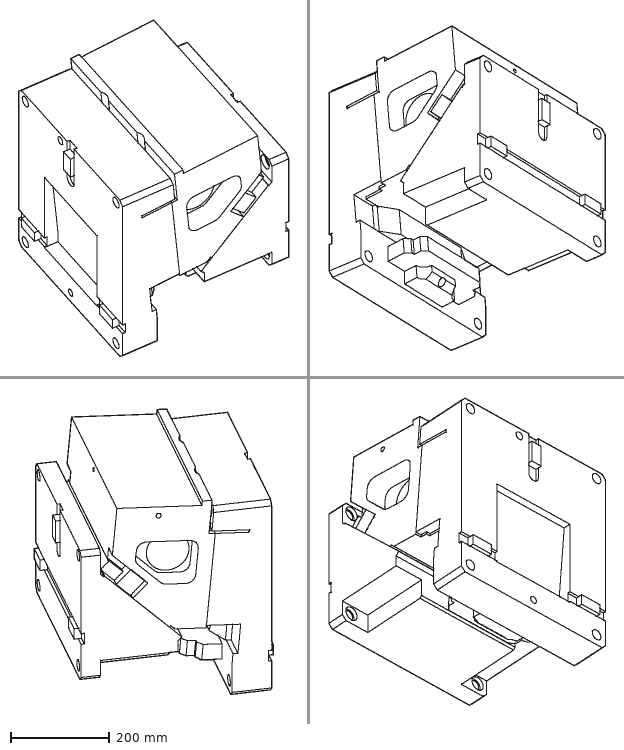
import cadquery as cq
import math

WIDTH = 400.0
TOTAL_HEIGHT = 469.0
HALF_WIDTH = WIDTH / 2
FACE_Y = HALF_WIDTH
CORNER_CHAMFER = 10.5

TILT = math.radians(5)
SEAT_Y = -63.0
SEAT_Z = 173.0

SLOPE_TIP_Y = -11.3
SLOPE_TIP_Z = 153.0

BASE_TOP = 444.5
BASE_FOOT_Y = -116.5
BASE_FOOT_TOP = 78.0
SEAT_HEIGHT = 212.5
TONGUE_THICKNESS = 5.5
SLOT_BOTTOM_U = -72.3
BASE_HEAD_U = 7.5
NOTCH_BOTTOM_V = -67.5
NOTCH_INNER_U = -62.0

FIXTURE_ROOT_U = -75.0
UPPER_CATCH_TOP_V = -91.0
LOWER_CATCH_TOP_V = -126.0
LOWER_CATCH_BOTTOM_V = -156.0

CORNER_HOLE_DIAMETER = 23.5
CORNER_HOLE_INSET_X = 25.5
BASE_HOLE_TOP_Z = 425.0
BASE_HOLE_LOW_Z = 25.5
CENTRE_HOLE_DIAMETER = 16.0
BLIND_HOLE_DIAMETER = 18.0
BLIND_HOLE_X = -39.5
BLIND_HOLE_DEPTH = 37.5

WINDOW_WIDTH = 201.8
WINDOW_TOP = 270.3
WINDOW_KINK = 99.5
WINDOW_BOTTOM = 71.0
WINDOW_DEPTH = 32.5
BASE_CROSS_KEY_Z = 73.0

KEY_LENGTH = 50.5
KEY_PROUD = 9.0
KEYWAY_DEPTH = 6.5
CROSS_KEY_HEIGHT = 24.5
CROSS_KEY_INSET = 24.5
UPRIGHT_KEY_WIDTH = 26.5
UPRIGHT_KEYWAY_LENGTH = 113.5
UPRIGHT_KEY_DROP = 24.5

BRACKET_TOP = 375.5
BRACKET_BOTTOM = 75.0
FLANGE_FRONT_Y = 159.0
BRACKET_NOSE_Y = -3.5
BRACKET_CROSS_KEY_Z = 162.5
SIDE_RELIEF_TOP_Z = 119.5
SIDE_RELIEF_DEPTH = 70.5
NOSE_CHAMFER = 4.5
SLOPE_RELIEF_START_S = 229.0
SLOPE_RELIEF_DEPTH = 2.5
BRACKET_LOW_HOLE_Z = BRACKET_BOTTOM + 25.5
BRACKET_HIGH_HOLE_Z = BRACKET_TOP - 19.2
COUNTERBORE_DIAMETER = 31.0
COUNTERBORE_DEPTH = 9.5

HEAD_REAR_U = 213.0
HEAD_TOP_V = (TOTAL_HEIGHT - SEAT_Z - HEAD_REAR_U * math.sin(TILT)) / math.cos(TILT)
HEAD_FRONT_U = 13.0
RIDGE_REAR_U = 34.0
RIDGE_TOP_V = 289.0
HEEL_END_S = 233.5
HEEL_HEIGHT = 24.0
TOE_RELIEF_LENGTH = 36.5
TOE_RELIEF_HEIGHT = 4.0

TONGUE_ROOT_U = -17.0
TONGUE_TIP_U = -60.0
TONGUE_ROOT_INSET = 14.0
TONGUE_TIP_INSET = 23.5
SLOT_WEB_INSET = 33.0
KEEPER_TOP_V = 229.5

BORE_DIAMETER = 89.5
BORE_U = 82.5
BORE_V = 149.0
POCKET_DEPTH = 50.0
POCKET_REAR_U = 163.5
POCKET_FRONT_U = 33.0
POCKET_TOP_V = 198.5
POCKET_BOTTOM_V = 99.0
POCKET_SLANT_N = 62.0
POCKET_RADIUS = 20.0

GROOVE_RADIUS = 22.5
GROOVE_WIDTH = 28.5
GROOVE_X = 69.5

SIDE_HOLE_DIAMETER = 10.5
SIDE_HOLE_U = 123.5
SIDE_HOLE_V = 258.0
REAR_HOLE_DIAMETER = 8.0
REAR_HOLE_V = 262.8
SMALL_HOLE_DEPTH = 19.0

SIDE_CUT_START_S = 145.5
SIDE_CUT_HEIGHT = 44.0
PAD_START_S = 151.0
PAD_END_S = 193.0
PAD_INSET = 5.5
STEP_HEIGHT = 26.0
STEP_INSET = 23.0
DEEP_INSET = 33.5

FAR = 563.0


def tilted(u, v):
    """(y, z) of a point given in the tilted frame."""
    y = SEAT_Y + u * math.cos(TILT) - v * math.sin(TILT)
    z = SEAT_Z + u * math.sin(TILT) + v * math.cos(TILT)
    return y, z


def sloped(s, n):
    """(y, z) of a point given in the slope frame."""
    return SLOPE_TIP_Y + (s - n) / math.sqrt(2), SLOPE_TIP_Z + (s + n) / math.sqrt(2)


def prism(points, x_min=-HALF_WIDTH, x_max=HALF_WIDTH):
    """Extrude a (y, z) outline along X."""
    return cq.Workplane("YZ", origin=(x_min, 0, 0)).polyline(points).close().extrude(x_max - x_min)


def tilted_block(u_range, v_range, inset=0.0):
    """Block square to the tilted frame, set in by the same amount from both sides."""
    (u0, u1), (v0, v1) = u_range, v_range
    corners = [tilted(u0, v0), tilted(u1, v0), tilted(u1, v1), tilted(u0, v1)]
    return prism(corners, -HALF_WIDTH + inset, HALF_WIDTH - inset)


def on_both_sides(shape):
    """The shape and its mirror image across the middle plane."""
    return shape.union(shape.mirror("YZ"))


def side_cutter(points, depth):
    """Cutter that enters both side faces to the given depth."""
    return on_both_sides(prism(points, -HALF_WIDTH, -HALF_WIDTH + depth))


def slope_rectangle(s0, s1, n0, n1):
    return [sloped(s0, n0), sloped(s1, n0), sloped(s1, n1), sloped(s0, n1)]


def box(x_range, y_range, z_range):
    sizes = [high - low for low, high in (x_range, y_range, z_range)]
    corner = (x_range[0], y_range[0], z_range[0])
    return cq.Workplane("XY").box(*sizes, centered=False).translate(corner)


def drill_y(x, z, diameter, y_start, length):
    """Cylinder along +Y."""
    plane = cq.Plane(origin=(x, y_start, z), xDir=(1, 0, 0), normal=(0, 1, 0))
    return cq.Workplane(plane).circle(diameter / 2).extrude(length)


def tilted_plan(v):
    """Workplane square to v: local x is X and local y is u."""
    y, z = tilted(0, v)
    normal = (0, -math.sin(TILT), math.cos(TILT))
    return cq.Workplane(cq.Plane(origin=(0, y, z), xDir=(1, 0, 0), normal=normal))


def tilted_side(x):
    """Workplane square to X: local x is u and local y is v."""
    x_dir = (0, math.cos(TILT), math.sin(TILT))
    return cq.Workplane(cq.Plane(origin=(x, SEAT_Y, SEAT_Z), xDir=x_dir, normal=(1, 0, 0)))


def mirrored_outline(right_half):
    """Close a right-hand half outline with its mirror image."""
    return right_half + [(-x, y) for x, y in reversed(right_half)]


def faceplate(bottom, top):
    """Full-depth slab across the part, with the four corners of its mounting face chamfered."""
    slab = box((-HALF_WIDTH, HALF_WIDTH), (-FACE_Y, FACE_Y), (bottom, top))
    return slab.edges("|Y").chamfer(CORNER_CHAMFER)


def with_keys(body, top, cross_z, at_rear):
    """Cut the keyways into a mounting face and add one upright and two cross keys."""
    keyway_y = (-FACE_Y, -FACE_Y + KEYWAY_DEPTH)
    key_y = (-FACE_Y - KEY_PROUD, -FACE_Y + KEYWAY_DEPTH)
    cross_height = (cross_z, cross_z + CROSS_KEY_HEIGHT)

    cross_keyway = box((-HALF_WIDTH, HALF_WIDTH), keyway_y, cross_height)
    cross_start = -HALF_WIDTH + CROSS_KEY_INSET
    cross_key = box((cross_start, cross_start + KEY_LENGTH), key_y, cross_height)

    round_radius = UPRIGHT_KEY_WIDTH / 2
    round_z = top - UPRIGHT_KEYWAY_LENGTH + round_radius
    upright_keyway = box((-round_radius, round_radius), keyway_y, (round_z, top)).union(
        drill_y(0, round_z, UPRIGHT_KEY_WIDTH, -FACE_Y, KEYWAY_DEPTH)
    )
    key_top = top - UPRIGHT_KEY_DROP
    upright_key = box((-round_radius, round_radius), key_y, (key_top - KEY_LENGTH, key_top))

    keyways = cross_keyway.union(upright_keyway)
    keys = on_both_sides(cross_key).union(upright_key)
    if at_rear:
        keyways = keyways.mirror("XZ")
        keys = keys.mirror("XZ")
    return body.cut(keyways).union(keys)


def window_cutter():
    """Window in the front face: its floor follows the tilt, then drops straight."""
    floor_y = -FACE_Y + WINDOW_DEPTH
    top_y = floor_y - (WINDOW_TOP - WINDOW_KINK) * math.tan(TILT)
    outline = [
        (-FACE_Y, WINDOW_BOTTOM),
        (floor_y, WINDOW_BOTTOM),
        (floor_y, WINDOW_KINK),
        (top_y, WINDOW_TOP),
        (-FACE_Y, WINDOW_TOP),
    ]
    return prism(outline, -WINDOW_WIDTH / 2, WINDOW_WIDTH / 2)


def wedge_stop():
    """Tapered block below the seat, cut back at its top for the lower tongue."""
    root_half = 140.8
    nose_half = 98.5
    nose_u = -36.5
    outline = mirrored_outline(
        [(root_half, FIXTURE_ROOT_U), (root_half, TONGUE_TIP_U), (nose_half, nose_u)]
    )
    wedge = tilted_plan(NOTCH_BOTTOM_V).polyline(outline).close().extrude(-NOTCH_BOTTOM_V)
    return wedge.cut(tilted_block((TONGUE_TIP_U, 0), (-TONGUE_THICKNESS, 0)))


def slot_web():
    """Web that closes the bottom of the upper slot between its two deeper ends."""
    u_range = (SLOT_BOTTOM_U, TONGUE_TIP_U)
    return tilted_block(u_range, (SEAT_HEIGHT, SEAT_HEIGHT + TONGUE_THICKNESS), SLOT_WEB_INSET)


def upper_catch():
    """Stepped hook that reaches to the rear from the foot, bevelled at 45 degrees."""
    root_half = 112.5
    shoulder_u = -22.0
    bevel = 11.3
    neck_half = 94.0
    tip_u = 18.0
    shoulder_end_u = shoulder_u + bevel
    outline = mirrored_outline(
        [
            (root_half, FIXTURE_ROOT_U),
            (root_half, shoulder_u),
            (root_half - bevel, shoulder_end_u),
            (neck_half, shoulder_end_u),
            (neck_half, tip_u - bevel),
            (neck_half - bevel, tip_u),
        ]
    )
    height = UPPER_CATCH_TOP_V - LOWER_CATCH_TOP_V
    return tilted_plan(LOWER_CATCH_TOP_V).polyline(outline).close().extrude(height)


def lower_catch():
    """Lug under the hook, flared into its root by concave rounds."""
    flare = 22.5
    root_u = -34.3
    tip_u = root_u + flare
    tip_x = 37.5
    root_x = tip_x + flare
    sag = flare * (1 - math.sqrt(0.5))
    lug = (
        tilted_plan(LOWER_CATCH_BOTTOM_V)
        .moveTo(-root_x, FIXTURE_ROOT_U)
        .lineTo(root_x, FIXTURE_ROOT_U)
        .lineTo(root_x, root_u)
        .threePointArc((tip_x + sag, root_u + sag), (tip_x, tip_u))
        .lineTo(-tip_x, tip_u)
        .threePointArc((-tip_x - sag, root_u + sag), (-root_x, root_u))
        .close()
        .extrude(LOWER_CATCH_TOP_V - LOWER_CATCH_BOTTOM_V)
    )
    bevel = 14.0
    tip_bevel = prism(
        [
            tilted(tip_u - bevel, LOWER_CATCH_BOTTOM_V),
            tilted(tip_u, LOWER_CATCH_BOTTOM_V + bevel),
            tilted(tip_u, LOWER_CATCH_BOTTOM_V),
        ]
    )
    return lug.cut(tip_bevel)


def make_base():
    slot_top_v = SEAT_HEIGHT + TONGUE_THICKNESS
    rear_space = prism(
        [
            tilted(BASE_HEAD_U, FAR),
            tilted(BASE_HEAD_U, slot_top_v),
            tilted(SLOT_BOTTOM_U, slot_top_v),
            tilted(SLOT_BOTTOM_U, SEAT_HEIGHT),
            tilted(0, SEAT_HEIGHT),
            tilted(0, 0),
            tilted(SLOT_BOTTOM_U, 0),
            tilted(SLOT_BOTTOM_U, NOTCH_BOTTOM_V),
            tilted(NOTCH_INNER_U, NOTCH_BOTTOM_V),
            tilted(NOTCH_INNER_U, -FAR),
            tilted(FAR, -FAR),
            tilted(FAR, FAR),
        ]
    )
    foot_space = box((-HALF_WIDTH, HALF_WIDTH), (BASE_FOOT_Y, FACE_Y), (0, BASE_FOOT_TOP))
    base = faceplate(0, BASE_TOP).cut(rear_space).cut(foot_space)
    base = base.union(slot_web()).union(wedge_stop()).union(upper_catch()).union(lower_catch())
    base = base.cut(window_cutter())
    base = with_keys(base, BASE_TOP, BASE_CROSS_KEY_Z, at_rear=False)

    hole_x = HALF_WIDTH - CORNER_HOLE_INSET_X
    for x in (-hole_x, hole_x):
        for z in (BASE_HOLE_LOW_Z, BASE_HOLE_TOP_Z):
            base = base.cut(drill_y(x, z, CORNER_HOLE_DIAMETER, -FACE_Y, WIDTH))
    base = base.cut(drill_y(0, BASE_HOLE_LOW_Z, CENTRE_HOLE_DIAMETER, -FACE_Y, WIDTH))
    return base.cut(
        drill_y(BLIND_HOLE_X, BASE_HOLE_TOP_Z, BLIND_HOLE_DIAMETER, -FACE_Y, BLIND_HOLE_DEPTH)
    )


def make_bracket():
    slope_top_z = SLOPE_TIP_Z + FLANGE_FRONT_Y - SLOPE_TIP_Y
    nose_z = SLOPE_TIP_Z - (BRACKET_NOSE_Y - SLOPE_TIP_Y)
    side_outline = prism(
        [
            (FACE_Y, BRACKET_BOTTOM),
            (FACE_Y, BRACKET_TOP),
            (FLANGE_FRONT_Y, BRACKET_TOP),
            (FLANGE_FRONT_Y, slope_top_z),
            (SLOPE_TIP_Y, SLOPE_TIP_Z),
            (BRACKET_NOSE_Y, nose_z),
            (BRACKET_NOSE_Y, BRACKET_BOTTOM + NOSE_CHAMFER),
            (BRACKET_NOSE_Y + NOSE_CHAMFER, BRACKET_BOTTOM),
        ]
    )
    bracket = faceplate(BRACKET_BOTTOM, BRACKET_TOP).intersect(side_outline)

    slope_relief = prism(slope_rectangle(SLOPE_RELIEF_START_S, FAR, -SLOPE_RELIEF_DEPTH, 0))
    flange_front = box((-HALF_WIDTH, HALF_WIDTH), (-FACE_Y, FLANGE_FRONT_Y), (0, TOTAL_HEIGHT))
    bracket = bracket.cut(slope_relief.intersect(flange_front))

    side_relief = box(
        (-HALF_WIDTH, -HALF_WIDTH + SIDE_RELIEF_DEPTH),
        (-FACE_Y, FLANGE_FRONT_Y),
        (BRACKET_BOTTOM, SIDE_RELIEF_TOP_Z),
    )
    bracket = bracket.cut(on_both_sides(side_relief))
    bracket = with_keys(bracket, BRACKET_TOP, BRACKET_CROSS_KEY_Z, at_rear=True)

    hole_x = HALF_WIDTH - CORNER_HOLE_INSET_X
    for x in (-hole_x, hole_x):
        for z in (BRACKET_LOW_HOLE_Z, BRACKET_HIGH_HOLE_Z):
            bracket = bracket.cut(drill_y(x, z, CORNER_HOLE_DIAMETER, FLANGE_FRONT_Y, FACE_Y))
            bracket = bracket.cut(
                drill_y(x, z, COUNTERBORE_DIAMETER, FLANGE_FRONT_Y, COUNTERBORE_DEPTH)
            )
    return bracket


def head_blank():
    """Tilted block with the top ridge, cut off along the slope."""
    block = tilted_block((HEAD_FRONT_U, HEAD_REAR_U), (-TONGUE_THICKNESS, HEAD_TOP_V))
    seat_pad = tilted_block((0, HEAD_FRONT_U), (-TONGUE_THICKNESS, SEAT_HEIGHT))
    ridge = tilted_block((HEAD_FRONT_U, RIDGE_REAR_U), (HEAD_TOP_V, RIDGE_TOP_V))
    heel = prism(slope_rectangle(SIDE_CUT_START_S, HEEL_END_S, 0, HEEL_HEIGHT))
    below_slope = prism(
        [
            sloped(-FAR, TOE_RELIEF_HEIGHT),
            sloped(TOE_RELIEF_LENGTH, TOE_RELIEF_HEIGHT),
            sloped(TOE_RELIEF_LENGTH, 0),
            sloped(FAR, 0),
            sloped(FAR, -FAR),
            sloped(-FAR, -FAR),
        ]
    )
    return block.union(seat_pad).union(ridge).cut(below_slope).union(heel)


def tongues():
    """Upper and lower tongues that hold the seat, and the keeper rib on the upper one."""
    shape = tilted_block(
        (BASE_HEAD_U, HEAD_FRONT_U), (SEAT_HEIGHT, KEEPER_TOP_V), TONGUE_ROOT_INSET
    )
    for bottom_v in (-TONGUE_THICKNESS, SEAT_HEIGHT):
        v_range = (bottom_v, bottom_v + TONGUE_THICKNESS)
        root = tilted_block((TONGUE_ROOT_U, HEAD_FRONT_U), v_range, TONGUE_ROOT_INSET)
        tip = tilted_block((TONGUE_TIP_U, HEAD_FRONT_U), v_range, TONGUE_TIP_INSET)
        shape = shape.union(root).union(tip)
    return shape


def pocket_cutter():
    """Rounded five-sided recess in both side faces, one wall parallel to the slope."""
    rise = math.cos(TILT) + math.sin(TILT)
    run = math.cos(TILT) - math.sin(TILT)
    slant = SLOPE_TIP_Z - SLOPE_TIP_Y - SEAT_Z + SEAT_Y + POCKET_SLANT_N * math.sqrt(2)
    outline = [
        (POCKET_REAR_U, POCKET_TOP_V),
        (POCKET_FRONT_U, POCKET_TOP_V),
        (POCKET_FRONT_U, POCKET_BOTTOM_V),
        ((POCKET_BOTTOM_V * rise - slant) / run, POCKET_BOTTOM_V),
        (POCKET_REAR_U, (POCKET_REAR_U * run + slant) / rise),
    ]
    pocket = tilted_side(-HALF_WIDTH).polyline(outline).close().extrude(POCKET_DEPTH)
    return on_both_sides(pocket.edges("|X").fillet(POCKET_RADIUS))


def ridge_grooves():
    """Two round grooves down the front of the ridge."""
    axis_u = HEAD_FRONT_U - math.sqrt(GROOVE_RADIUS**2 - (GROOVE_WIDTH / 2) ** 2)
    centres = [(-GROOVE_X, axis_u), (GROOVE_X, axis_u)]
    return tilted_plan(KEEPER_TOP_V).pushPoints(centres).circle(GROOVE_RADIUS).extrude(FAR)


def side_cuts():
    """Stepped clearance in both sides above the slope, leaving a pad and a lower step."""
    side_cut = side_cutter(slope_rectangle(SIDE_CUT_START_S, FAR, 0, SIDE_CUT_HEIGHT), PAD_INSET)
    step_cut = side_cutter(slope_rectangle(PAD_END_S, FAR, 0, STEP_HEIGHT), STEP_INSET)
    deep_cut = side_cutter(
        slope_rectangle(PAD_END_S, FAR, STEP_HEIGHT, SIDE_CUT_HEIGHT), DEEP_INSET
    )
    pad_gap = side_cutter(
        slope_rectangle(SIDE_CUT_START_S, PAD_START_S, 0, SIDE_CUT_HEIGHT), DEEP_INSET
    )
    return side_cut.union(step_cut).union(deep_cut).union(pad_gap)


def make_head():
    head = head_blank().cut(ridge_grooves()).union(tongues())
    head = head.cut(pocket_cutter()).cut(side_cuts())

    bore = tilted_side(-HALF_WIDTH).center(BORE_U, BORE_V).circle(BORE_DIAMETER / 2).extrude(WIDTH)
    side_hole = (
        tilted_side(-HALF_WIDTH)
        .center(SIDE_HOLE_U, SIDE_HOLE_V)
        .circle(SIDE_HOLE_DIAMETER / 2)
        .extrude(SMALL_HOLE_DEPTH)
    )
    rear_y, rear_z = tilted(HEAD_REAR_U, REAR_HOLE_V)
    inward = (0, -math.cos(TILT), -math.sin(TILT))
    rear_plane = cq.Plane(origin=(0, rear_y, rear_z), xDir=(1, 0, 0), normal=inward)
    rear_hole = cq.Workplane(rear_plane).circle(REAR_HOLE_DIAMETER / 2).extrude(SMALL_HOLE_DEPTH)
    return head.cut(bore).cut(side_hole).cut(rear_hole)


base = make_base()
bracket = make_bracket()
head = make_head()

result = cq.Compound.makeCompound([body.solids().val() for body in (base, bracket, head)])